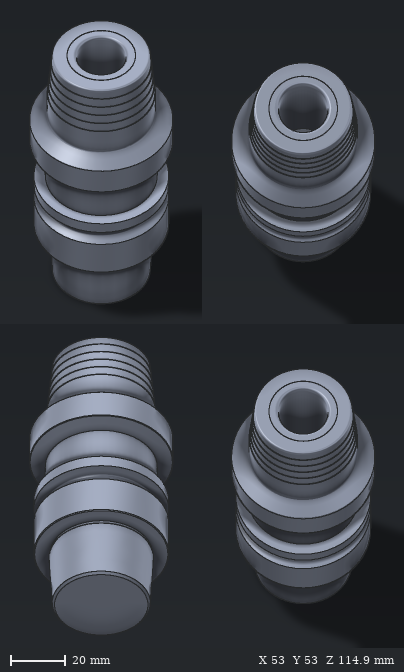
import cadquery as cq

length = 114.9

shank_tip_radius = 18.2
shank_top_radius = 19.3
shank_top = 23.2
tip_edge_size = 0.9
neck_radius = 19.0
neck_chamfer = 0.5

flange_radius = 24.9
flange_bottom = 24.7
flange_top = 50.9
flange_edge_chamfer = 0.3
groove_radius = 21.6
groove_lower_edge = 39.9
groove_upper_edge = 46.3
groove_floor_bottom = 41.5
groove_floor_top = 44.4
groove_corner_radius = 0.9

body_radius = 20.7
collar_diameter = 53.0
collar_radius = collar_diameter / 2
collar_cone_bottom = 67.1
collar_bottom = 69.4
collar_top = 80.9
collar_edge_chamfer = 0.2

nose_radius = 20.0
nose_base = 84.5
nose_base_fillet = 1.1
step_count = 5
step_bottom = 95.0
step_height = (length - step_bottom) / step_count
step_width = 0.2
step_taper = 0.1
nose_edge_radius = 1.0

bore_radius = 9.1
bore_depth = 46.0
bore_mouth_fillet = 1.4
recess_radius = 12.6
recess_depth = 0.1


def shank_and_flange_points():
    """Outline from the tip of the shank to the top of the flange."""
    return [
        (shank_tip_radius - tip_edge_size, 0),
        (shank_tip_radius, tip_edge_size),
        (shank_top_radius, shank_top),
        (neck_radius, shank_top + neck_chamfer),
        (neck_radius, flange_bottom),
        (flange_radius - flange_edge_chamfer, flange_bottom),
        (flange_radius, flange_bottom + flange_edge_chamfer),
        (flange_radius, groove_lower_edge),
        (groove_radius, groove_floor_bottom),
        (groove_radius, groove_floor_top),
        (flange_radius, groove_upper_edge),
        (flange_radius, flange_top),
    ]


def collar_points():
    """Outline of the plain body and the collar with its two conical sides."""
    return [
        (body_radius, flange_top),
        (body_radius, collar_cone_bottom),
        (collar_radius - collar_edge_chamfer, collar_bottom),
        (collar_radius, collar_bottom + collar_edge_chamfer),
        (collar_radius, collar_top - collar_edge_chamfer),
        (collar_radius - collar_edge_chamfer, collar_top),
        (nose_radius, nose_base),
    ]


def nose_points():
    """Outline of the nose: short tapered bands, each set in from the one below."""
    points = [(nose_radius, step_bottom)]
    radius = nose_radius
    for step in range(step_count):
        band_bottom = step_bottom + step * step_height
        points.append((radius - step_width, band_bottom))
        radius -= step_width + step_taper
        points.append((radius, band_bottom + step_height))
    return points


def fillet_circle(solid, height, radius):
    """Round the circular edge whose centre lies on the axis nearest to the given height."""
    edge = cq.selectors.NearestToPointSelector((0, 0, height))
    return solid.edges(edge).fillet(radius)


def make_body():
    outline = [(0, 0)] + shank_and_flange_points() + collar_points() + nose_points() + [(0, length)]
    solid = cq.Workplane("XZ").polyline(outline).close().revolve(360, (0, 0), (0, 1))
    for height in (groove_floor_bottom, groove_floor_top):
        solid = fillet_circle(solid, height, groove_corner_radius)
    solid = fillet_circle(solid, nose_base, nose_base_fillet)
    return fillet_circle(solid, length, nose_edge_radius)


def cut_bore(body):
    """Cut a blind bore with a rounded mouth at the floor of a shallow recess."""
    top = body.faces(">Z").workplane(origin=(0, 0, length))
    bored = top.circle(bore_radius).cutBlind(-bore_depth)
    recess = cq.Workplane("XY", origin=(0, 0, length)).circle(recess_radius).extrude(-recess_depth)
    return fillet_circle(bored.cut(recess), length - recess_depth, bore_mouth_fillet)


result = cut_bore(make_body())